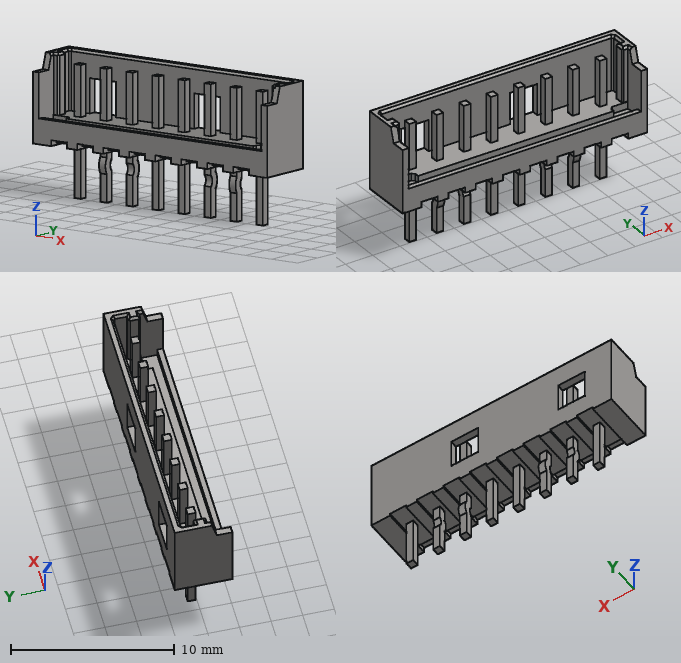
import cadquery as cq
import math

WIDTH = 18.0
DEPTH = 3.65
TOTAL_HEIGHT = 9.0
HEIGHT = 5.5
SIDE_WALL = 0.45
REAR_WALL = 0.5
FLOOR_Z = 1.62
LIP_CHAMFER = 0.16
CORNER_CHAMFER = 0.1

SHOULDER_Z = 4.5
SHOULDER_Y = 0.99
SLOPE_TOP_Y = 1.3

RIB_LENGTH = 0.38
RIB_FRONT_Y = 1.51
RIB_BACK_Y = 2.29

FRONT_WALL = 0.38
TRENCH_DEPTH = 0.5
TRENCH_BACK_Y = 0.99
TRENCH_END_Y = 1.48
TRENCH_END_LENGTH = 1.35
TRENCH_CHAMFER = 0.18

PIN_COUNT = 8
PITCH = WIDTH / (PIN_COUNT + 1)
PIN_SIZE = 0.5
PIN_Y = 2.15
PIN_TOP = 4.88
PIN_BOTTOM = HEIGHT - TOTAL_HEIGHT
BEND_Z = -1.19
BEND_HALF_HEIGHT = 0.52
BEND_OFFSET = 0.15
FORWARD_BENT_PINS = (1, 6)
BACKWARD_BENT_PINS = (2, 5)

WINDOW_TOP = 3.83
WINDOW_FIRST_PINS = (0, 4)

GROOVE_WIDTH = 1.2
GROOVE_HEIGHT = 0.16
GROOVE_FRONT_HEIGHT = 0.38
GROOVE_FRONT_DEPTH = 0.5

INNER_X = WIDTH / 2 - SIDE_WALL
INNER_BACK_Y = DEPTH - REAR_WALL


def box(x_range, y_range, z_range):
    """Box given by its limits along each axis."""
    corner = (x_range[0], y_range[0], z_range[0])
    size = [end - start for start, end in (x_range, y_range, z_range)]
    return cq.Workplane("XY").box(*size, centered=False).translate(corner)


def prism(points, bottom, top):
    """Vertical prism over an XY outline."""
    return cq.Workplane("XY").workplane(offset=bottom).polyline(points).close().extrude(top - bottom)


def both_sides(points):
    """Close an outline across the YZ plane by adding the mirror image of its right half."""
    return points + [(-x, y) for x, y in reversed(points)]


def pin_x(index):
    return (index - (PIN_COUNT - 1) / 2) * PITCH


def cavity():
    """Space above the floor, open to the front, narrowed by the two key ribs."""
    rib_x = INNER_X - RIB_LENGTH
    right_half = [
        (INNER_X, 0),
        (INNER_X, RIB_FRONT_Y),
        (rib_x, RIB_FRONT_Y),
        (rib_x, RIB_BACK_Y),
        (INNER_X, RIB_BACK_Y),
        (INNER_X, INNER_BACK_Y - CORNER_CHAMFER),
        (INNER_X - CORNER_CHAMFER, INNER_BACK_Y),
    ]
    return prism(both_sides(right_half), FLOOR_Z, HEIGHT)


def rib_corner_cuts():
    """Wedges that bevel the upright corners of both ribs."""
    rib_x = INNER_X - RIB_LENGTH
    wedges = cq.Workplane("XY")
    for side in (-1, 1):
        for corner_y, inward in ((RIB_FRONT_Y, 1), (RIB_BACK_Y, -1)):
            points = [
                (side * rib_x, corner_y),
                (side * (rib_x + CORNER_CHAMFER), corner_y),
                (side * rib_x, corner_y + inward * CORNER_CHAMFER),
            ]
            wedges = wedges.add(prism(points, FLOOR_Z, HEIGHT))
    return wedges.combine()


def shoulder_cut():
    """Removes the upper front of the side walls."""
    return (
        cq.Workplane("YZ")
        .workplane(offset=-WIDTH / 2)
        .polyline([(0, SHOULDER_Z), (SHOULDER_Y, SHOULDER_Z), (SLOPE_TOP_Y, HEIGHT), (0, HEIGHT)])
        .close()
        .extrude(WIDTH)
    )


def trench():
    """Trench along the front wall, wider at both ends."""
    end_x = INNER_X - TRENCH_END_LENGTH
    right_half = [
        (INNER_X, FRONT_WALL),
        (INNER_X, TRENCH_END_Y),
        (end_x + TRENCH_CHAMFER, TRENCH_END_Y),
        (end_x, TRENCH_END_Y - TRENCH_CHAMFER),
        (end_x, TRENCH_BACK_Y),
    ]
    return prism(both_sides(right_half), FLOOR_Z - TRENCH_DEPTH, FLOOR_Z)


def window(first_pin):
    x_range = (pin_x(first_pin), pin_x(first_pin + 1))
    return box(x_range, (INNER_BACK_Y, DEPTH), (FLOOR_Z, WINDOW_TOP))


def groove(index):
    """Shallow groove through the full depth with a taller mouth at the front."""
    x_range = (pin_x(index) - GROOVE_WIDTH / 2, pin_x(index) + GROOVE_WIDTH / 2)
    through = box(x_range, (0, DEPTH), (0, GROOVE_HEIGHT))
    mouth = box(x_range, (0, GROOVE_FRONT_DEPTH), (0, GROOVE_FRONT_HEIGHT))
    return through.union(mouth)


def housing():
    body = box((-WIDTH / 2, WIDTH / 2), (0, DEPTH), (0, HEIGHT)).cut(cavity())

    inner_rim = cq.selectors.BoxSelector(
        (-INNER_X - LIP_CHAMFER, LIP_CHAMFER, HEIGHT - LIP_CHAMFER),
        (INNER_X + LIP_CHAMFER, INNER_BACK_Y + LIP_CHAMFER, HEIGHT + LIP_CHAMFER),
    )
    body = body.edges(inner_rim).chamfer(LIP_CHAMFER)

    body = body.cut(rib_corner_cuts()).cut(shoulder_cut()).cut(trench())
    for first_pin in WINDOW_FIRST_PINS:
        body = body.cut(window(first_pin))
    for index in range(PIN_COUNT):
        body = body.cut(groove(index))
    return body


def pin(index, bend):
    """Square pin; bend is -1 for a kink to the front, 1 for one to the back, 0 for straight."""
    half = PIN_SIZE / 2
    x_start = pin_x(index) - half
    outline = cq.Workplane("YZ").workplane(offset=x_start).moveTo(-half, PIN_BOTTOM)
    if bend == 0:
        outline = outline.lineTo(-half, PIN_TOP).lineTo(half, PIN_TOP).lineTo(half, PIN_BOTTOM)
    else:
        outer_radius = (BEND_HALF_HEIGHT**2 + BEND_OFFSET**2) / (2 * BEND_OFFSET)
        inner_radius = outer_radius - PIN_SIZE
        inner_half_height = math.sqrt(inner_radius**2 - (inner_radius - BEND_OFFSET) ** 2)
        front_half = BEND_HALF_HEIGHT if bend < 0 else inner_half_height
        back_half = BEND_HALF_HEIGHT if bend > 0 else inner_half_height
        shift = bend * BEND_OFFSET
        outline = (
            outline.lineTo(-half, BEND_Z - front_half)
            .threePointArc((-half + shift, BEND_Z), (-half, BEND_Z + front_half))
            .lineTo(-half, PIN_TOP)
            .lineTo(half, PIN_TOP)
            .lineTo(half, BEND_Z + back_half)
            .threePointArc((half + shift, BEND_Z), (half, BEND_Z - back_half))
            .lineTo(half, PIN_BOTTOM)
        )
    return outline.close().extrude(PIN_SIZE).translate((0, PIN_Y, 0))


result = housing()
for pin_index in range(PIN_COUNT):
    pin_bend = 0
    if pin_index in FORWARD_BENT_PINS:
        pin_bend = -1
    elif pin_index in BACKWARD_BENT_PINS:
        pin_bend = 1
    result = result.union(pin(pin_index, pin_bend))